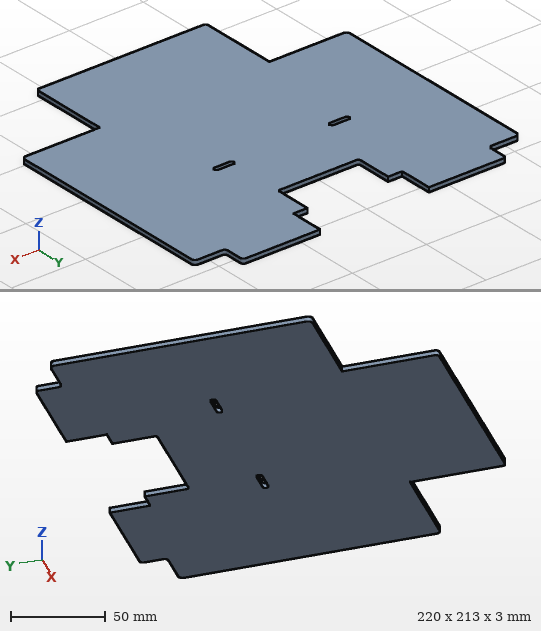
import cadquery as cq

width = 220.0
depth = 213.0
thickness = 3.0
top = depth / 2
bottom = -depth / 2

shoulder_drop = 14.7
ear_half_width = 89.0
tongue_half_width = 57.5
tongue_length = 53.2

notch_mouth_half_width = 36.7
notch_mouth_depth = 22.5
notch_half_width = 27.3
notch_depth = 47.0

body_radius = 2.6
corner_radius = 2.0
notch_radius = 1.3

slot_length = 13.2
slot_width = 3.0
slot_centers_x = (-45.5, 32.5)
slot_y = top - 86.0

shoulder_y = top - shoulder_drop
body_bottom_y = bottom + tongue_length
notch_floor_y = top - notch_depth


def make_plate():
    """Stepped plate, drawn as its right half and mirrored about the YZ plane."""
    right_half = [
        (0, notch_floor_y),
        (notch_half_width, notch_floor_y),
        (notch_half_width, top - notch_mouth_depth),
        (notch_mouth_half_width, top - notch_mouth_depth),
        (notch_mouth_half_width, top),
        (ear_half_width, top),
        (ear_half_width, shoulder_y),
        (width / 2, shoulder_y),
        (width / 2, body_bottom_y),
        (tongue_half_width, body_bottom_y),
        (tongue_half_width, bottom),
        (0, bottom),
    ]
    left_half = [(-x, y) for x, y in reversed(right_half[1:-1])]
    return cq.Workplane("XY").polyline(right_half + left_half).close().extrude(thickness)


def round_corners(plate, half_x, y, radius):
    """Round the mirrored pair of vertical corner edges at (+-half_x, y)."""
    mid_z = thickness / 2
    for x in (-half_x, half_x):
        corner = cq.selectors.NearestToPointSelector((x, y, mid_z))
        plate = plate.edges("|Z").edges(corner).fillet(radius)
    return plate


result = make_plate()
for corner_x, corner_y, radius in (
    (notch_half_width, notch_floor_y, notch_radius),
    (ear_half_width, top, corner_radius),
    (ear_half_width, shoulder_y, corner_radius),
    (width / 2, shoulder_y, body_radius),
    (width / 2, body_bottom_y, body_radius),
    (tongue_half_width, bottom, corner_radius),
):
    result = round_corners(result, corner_x, corner_y, radius)

slots = (
    cq.Workplane("XY")
    .pushPoints([(x, slot_y) for x in slot_centers_x])
    .slot2D(slot_length, slot_width)
    .extrude(thickness)
)
result = result.cut(slots)